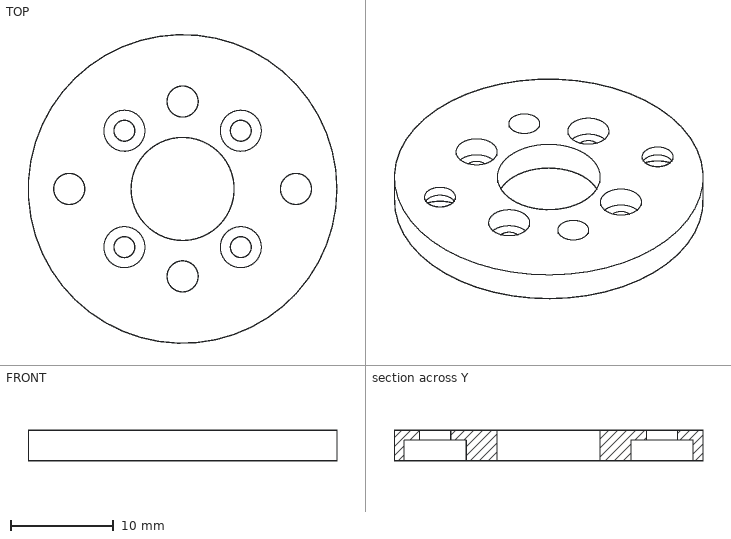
import cadquery as cq

disc_diameter = 30.0
thickness = 3.0
bore_diameter = 10.0

side_hole_diameter = 3.0
side_hole_x = 11.0
side_hole_y = 8.5
underside_counterbore_diameter = 6.0
underside_counterbore_depth = 2.0

screw_count = 4
screw_circle_diameter = 16.0
screw_start_angle = 45.0
screw_hole_diameter = 2.0
counterbore_diameter = 4.0
counterbore_depth = 2.0

disc = cq.Workplane("XY").circle(disc_diameter / 2).extrude(thickness)
disc = disc.faces(">Z").workplane().hole(bore_diameter)

x_hole_centers = [(-side_hole_x, 0), (side_hole_x, 0)]
y_hole_centers = [(0, -side_hole_y), (0, side_hole_y)]
disc = (
    disc.faces("<Z")
    .workplane()
    .pushPoints(x_hole_centers)
    .cboreHole(side_hole_diameter, underside_counterbore_diameter, underside_counterbore_depth)
)
disc = disc.faces(">Z").workplane().pushPoints(y_hole_centers).hole(side_hole_diameter)

result = (
    disc.faces(">Z")
    .workplane()
    .polarArray(screw_circle_diameter / 2, screw_start_angle, 360, screw_count)
    .cboreHole(screw_hole_diameter, counterbore_diameter, counterbore_depth)
)